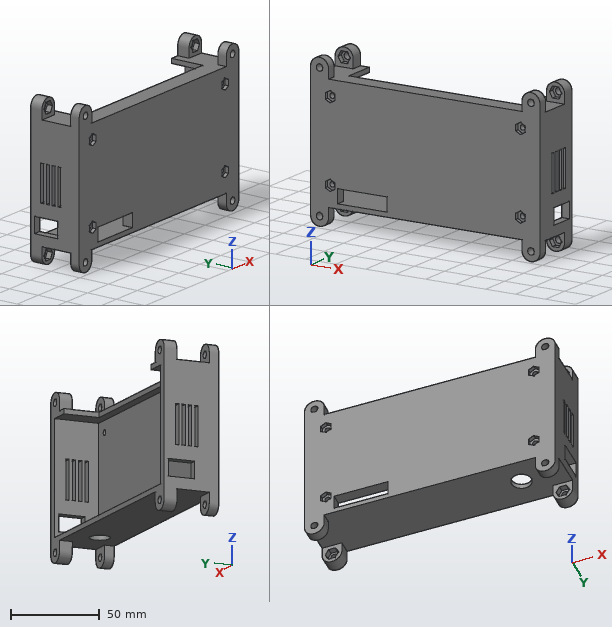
import cadquery as cq
import math

LENGTH = 153.0
DEPTH = 34.0
HEIGHT_OVER_EARS = 99.0
BODY_HEIGHT = 75.1
FLOOR_THICKNESS = 6.6
END_WALL = 5.2
SIDE_WALL = 3.0

FRONT = -DEPTH / 2
BACK = DEPTH / 2
CAVITY_LENGTH = LENGTH - 2 * END_WALL
CAVITY_HEIGHT = BODY_HEIGHT - 2 * SIDE_WALL

EAR_WIDTH = 12.1
EAR_RADIUS = EAR_WIDTH / 2
FRONT_EAR_THICKNESS = 6.0
BACK_EAR_THICKNESS = 8.0
EAR_X = LENGTH / 2 - EAR_RADIUS
EAR_Z = HEIGHT_OVER_EARS / 2 - EAR_RADIUS
EAR_HOLE_DIAMETER = 4.3
EAR_NUT_FLATS = 7.0
EAR_NUT_DEPTH = 3.5

SCREW_SPACING_X = 126.8
SCREW_SPACING_Z = 51.9
SCREW_CENTRE_Z = 1.5
SCREW_HOLE_DIAMETER = 3.2
SCREW_NUT_FLATS = 6.3
SCREW_NUT_DEPTH = 2.5

FRONT_WINDOW_LEFT = -58.5
FRONT_WINDOW_LENGTH = 32.9
FRONT_WINDOW_HEIGHT = 8.9

TOP_OPENING_LENGTH = 116.9
TOP_OPENING_DEPTH = 21.9

CABLE_HOLE_DIAMETER = 12.1
CABLE_HOLE_X = 49.4
CABLE_HOLE_FROM_FRONT = 15.9

VENT_COUNT = 4
VENT_WIDTH = 2.0
VENT_PITCH = 4.0
VENT_HEIGHT = 23.7
FIRST_VENT_FROM_BACK = 8.1
END_WINDOW_WIDTH = 16.2
END_WINDOW_HEIGHT = 10.3
END_WINDOW_FROM_BACK = 2.8
END_WINDOW_BOTTOM = -30.8


def block(x_start, x_size, y_start, y_size, z_start, z_size):
    """Box given by its lowest corner and its sizes."""
    corner = (x_start, y_start, z_start)
    return cq.Workplane("XY").box(x_size, y_size, z_size, centered=False).translate(corner)


def rod(x, z, diameter, y_start, length):
    """Cylinder along +Y."""
    plane = cq.Workplane("XZ", origin=(x, y_start, z))
    return plane.circle(diameter / 2).extrude(-length)


def nut_prism(x, z, across_flats, y_start, depth, turn=0):
    """Hexagonal prism along +Y, corners towards -X and +X, turned about its axis by turn degrees."""
    across_corners = across_flats / math.cos(math.pi / 6)
    plane = cq.Workplane("XZ", origin=(x, y_start, z))
    hexagon = plane.transformed(rotate=(0, 0, turn)).polygon(6, across_corners)
    return hexagon.extrude(-depth)


def make_tray():
    outside = block(-LENGTH / 2, LENGTH, FRONT, DEPTH, -BODY_HEIGHT / 2, BODY_HEIGHT)
    cavity = block(
        -CAVITY_LENGTH / 2, CAVITY_LENGTH,
        FRONT + FLOOR_THICKNESS, DEPTH - FLOOR_THICKNESS,
        -CAVITY_HEIGHT / 2, CAVITY_HEIGHT,
    )
    return outside.cut(cavity)


def make_ear(x, side, y_start, thickness):
    """Round-ended ear; side is +1 on the top wall and -1 on the bottom wall."""
    root_z = BODY_HEIGHT / 2
    outline = (
        cq.Workplane("XZ", origin=(x, y_start, 0))
        .moveTo(-EAR_RADIUS, side * root_z)
        .lineTo(-EAR_RADIUS, side * EAR_Z)
        .threePointArc((0, side * (EAR_Z + EAR_RADIUS)), (EAR_RADIUS, side * EAR_Z))
        .lineTo(EAR_RADIUS, side * root_z)
        .close()
    )
    hole = rod(x, side * EAR_Z, EAR_HOLE_DIAMETER, y_start, thickness)
    return outline.extrude(-thickness).cut(hole)


def add_ears(body):
    back_ear_face = BACK - BACK_EAR_THICKNESS
    for x in (-EAR_X, EAR_X):
        for side in (-1, 1):
            front_ear = make_ear(x, side, FRONT, FRONT_EAR_THICKNESS)
            back_ear = make_ear(x, side, back_ear_face, BACK_EAR_THICKNESS)
            nut = nut_prism(x, side * EAR_Z, EAR_NUT_FLATS, back_ear_face, EAR_NUT_DEPTH)
            body = body.union(front_ear).union(back_ear.cut(nut))
    return body


def cut_board_screws(body):
    for x in (-SCREW_SPACING_X / 2, SCREW_SPACING_X / 2):
        for offset in (-SCREW_SPACING_Z / 2, SCREW_SPACING_Z / 2):
            z = SCREW_CENTRE_Z + offset
            body = body.cut(rod(x, z, SCREW_HOLE_DIAMETER, FRONT, FLOOR_THICKNESS))
            body = body.cut(nut_prism(x, z, SCREW_NUT_FLATS, FRONT, SCREW_NUT_DEPTH, turn=90))
    return body


def cut_front_window(body):
    window = block(
        FRONT_WINDOW_LEFT, FRONT_WINDOW_LENGTH,
        FRONT, FLOOR_THICKNESS,
        -CAVITY_HEIGHT / 2, FRONT_WINDOW_HEIGHT,
    )
    return body.cut(window)


def cut_top_opening(body):
    opening = block(
        -TOP_OPENING_LENGTH / 2, TOP_OPENING_LENGTH,
        BACK - TOP_OPENING_DEPTH, TOP_OPENING_DEPTH,
        CAVITY_HEIGHT / 2, SIDE_WALL,
    )
    return body.cut(opening)


def cut_cable_hole(body):
    centre = (CABLE_HOLE_X, FRONT + CABLE_HOLE_FROM_FRONT, -BODY_HEIGHT / 2)
    hole = cq.Workplane("XY", origin=centre).circle(CABLE_HOLE_DIAMETER / 2).extrude(SIDE_WALL)
    return body.cut(hole)


def cut_end_walls(body):
    for index in range(VENT_COUNT):
        vent_centre = BACK - FIRST_VENT_FROM_BACK - index * VENT_PITCH
        vent = block(
            -LENGTH / 2, LENGTH,
            vent_centre - VENT_WIDTH / 2, VENT_WIDTH,
            -VENT_HEIGHT / 2, VENT_HEIGHT,
        )
        body = body.cut(vent)
    window = block(
        -LENGTH / 2, LENGTH,
        BACK - END_WINDOW_FROM_BACK - END_WINDOW_WIDTH, END_WINDOW_WIDTH,
        END_WINDOW_BOTTOM, END_WINDOW_HEIGHT,
    )
    return body.cut(window)


result = add_ears(make_tray())
result = cut_board_screws(result)
result = cut_front_window(result)
result = cut_top_opening(result)
result = cut_cable_hole(result)
result = cut_end_walls(result)